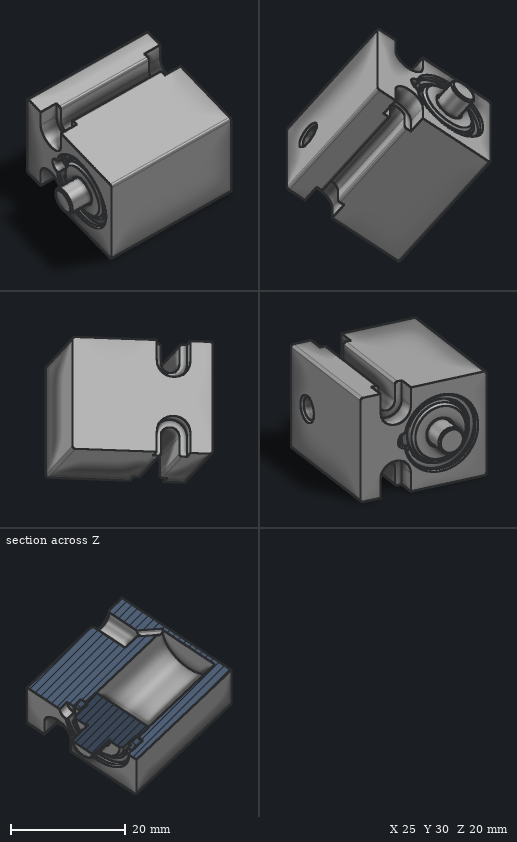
import cadquery as cq
import math


WIDTH = 25.0
HEIGHT = 20.0
DEPTH = 26.0
EDGE_RADIUS = 0.5

SLOT_X = 7.0
SLOT_WIDTH = 3.3
SLOT_CENTER_DEPTH = 3.5
SLOT_SEAT_WIDTH = 6.0
SLOT_SEAT_DEPTH = 3.42

AXIS_X = 16.0
SEAT_DIAMETER = 14.0
SEAT_CHAMFER = 0.33
CHAMBER_DIAMETER = 11.85
REAR_WALL = 1.0
NOTCH_RADIUS = 1.5

PORT_FROM_REAR = 6.05
PORT_DIAMETER = 4.15
PORT_MOUTH_DIAMETER = 5.0
PORT_DEPTH = 7.5
PASSAGE_DIAMETER = 1.2
PASSAGE_OVERLAP = 0.6
PASSAGE_LENGTH = 4.8

FLANGE_FACE_Y = 2.0
FLANGE_THICKNESS = 2.0
FLANGE_CHAMFER = 0.2
RIM_FACE_Y = 1.0
RIM_INNER_DIAMETER = 12.18
RIM_GAP_OUTER = 6.0
RIM_GAP_INNER = 4.15
RIM_GAP_OFFSET = 0.2
RADIAL_CLEARANCE = 0.2

SHANK_DIAMETER = 11.0
SHANK_FACE_Y = 0.2
SHANK_CHAMFER = 0.5
TIP_DIAMETER = 5.0
TIP_PROJECTION = 30.0 - DEPTH
TIP_CHAMFER = 0.3
COUNTERSINK = 0.3
PISTON_LENGTH = 3.0

SEAT_DEPTH = FLANGE_FACE_Y + FLANGE_THICKNESS


def cylinder(diameter, start_y, end_y):
    """Cylinder on the bore axis between two Y positions."""
    circle = cq.Workplane("XZ", origin=(AXIS_X, start_y, 0)).circle(diameter / 2)
    return circle.extrude(start_y - end_y)


def cone(diameter, start_y, depth):
    """45-degree cone on the bore axis, narrowing from its mouth at start_y."""
    radius = diameter / 2
    mouth = cq.Vector(AXIS_X, start_y, 0)
    return cq.Workplane(cq.Solid.makeCone(radius, radius - depth, depth, mouth, cq.Vector(0, 1, 0)))


def slot_outline(width):
    """Round-bottomed slot profile, open at the top face and drawn on the front plane."""
    half = width / 2
    center_z = HEIGHT / 2 - SLOT_CENTER_DEPTH
    return (
        cq.Workplane("XZ")
        .moveTo(SLOT_X - half, HEIGHT / 2)
        .lineTo(SLOT_X - half, center_z)
        .threePointArc((SLOT_X, center_z - half), (SLOT_X + half, center_z))
        .lineTo(SLOT_X + half, HEIGHT / 2)
        .close()
    )


def make_block():
    """Block with both slots, their end seats and rounded long edges."""
    block = cq.Workplane("XY").box(WIDTH, DEPTH, HEIGHT).translate((WIDTH / 2, DEPTH / 2, 0))
    slot = slot_outline(SLOT_WIDTH).extrude(-DEPTH)
    block = block.cut(slot).cut(slot.mirror("XY"))
    block = block.faces("<Z or >Z").edges("|Y").fillet(EDGE_RADIUS)
    front_seat = slot_outline(SLOT_SEAT_WIDTH).extrude(-SLOT_SEAT_DEPTH)
    for seat_y in (0, DEPTH - SLOT_SEAT_DEPTH):
        seat = front_seat.translate((0, seat_y, 0))
        block = block.cut(seat).cut(seat.mirror("XY"))
    return block


def make_bore():
    """Cutter for the collar seat, its chamfer, the side notch and the rod chamber."""
    seat = cylinder(SEAT_DIAMETER, 0, SEAT_DEPTH)
    mouth = cone(SEAT_DIAMETER + 2 * SEAT_CHAMFER, 0, SEAT_CHAMFER)
    notch = cylinder(2 * NOTCH_RADIUS, 0, FLANGE_FACE_Y).translate((-SEAT_DIAMETER / 2, 0, 0))
    chamber = cylinder(CHAMBER_DIAMETER, SEAT_DEPTH, DEPTH - REAR_WALL)
    return seat.union(mouth).union(notch).union(chamber)


def make_port():
    """Cutter for the port, its conical mouth and the slanted passage to the chamber."""
    port_y = DEPTH - PORT_FROM_REAR
    radius = PORT_DIAMETER / 2
    mouth_radius = PORT_MOUTH_DIAMETER / 2
    profile = [
        (0, port_y),
        (0, port_y + mouth_radius),
        (mouth_radius - radius, port_y + radius),
        (PORT_DEPTH, port_y + radius),
        (PORT_DEPTH, port_y),
    ]
    port = cq.Workplane("XY").polyline(profile).close().revolve(360, (0, port_y), (1, port_y))
    passage = cq.Workplane(cq.Solid.makeCylinder(
        PASSAGE_DIAMETER / 2,
        PASSAGE_LENGTH,
        cq.Vector(PORT_DEPTH - PASSAGE_OVERLAP, port_y + radius - PASSAGE_OVERLAP, 0),
        cq.Vector(1, 1, 0),
    ))
    return port.union(passage)


def make_housing():
    return make_block().cut(make_bore()).cut(make_port())


def make_rim():
    """Raised rim with a gap facing the notch; the gap narrows towards the bore axis."""
    rim = cylinder(SEAT_DIAMETER, RIM_FACE_Y, FLANGE_FACE_Y)
    rim = rim.cut(cylinder(RIM_INNER_DIAMETER, RIM_FACE_Y, FLANGE_FACE_Y))
    half_outer = RIM_GAP_OUTER / 2
    half_inner = RIM_GAP_INNER / 2
    outer_x = AXIS_X - math.sqrt((SEAT_DIAMETER / 2) ** 2 - half_outer ** 2)
    inner_x = AXIS_X - math.sqrt((RIM_INNER_DIAMETER / 2) ** 2 - half_inner ** 2)
    far_x = AXIS_X - SEAT_DIAMETER / 2
    gap_profile = [
        (far_x, half_outer),
        (outer_x, half_outer),
        (inner_x, half_inner),
        (inner_x, -half_inner),
        (outer_x, -half_outer),
        (far_x, -half_outer),
    ]
    gap = cq.Workplane("XZ", origin=(0, 0, RIM_GAP_OFFSET)).polyline(gap_profile).close().extrude(-SEAT_DEPTH)
    return rim.cut(gap)


def make_collar():
    flange = cylinder(SEAT_DIAMETER, FLANGE_FACE_Y, SEAT_DEPTH).faces("<Y").chamfer(FLANGE_CHAMFER)
    hole = cylinder(SHANK_DIAMETER + 2 * RADIAL_CLEARANCE, FLANGE_FACE_Y, SEAT_DEPTH)
    return flange.cut(hole).union(make_rim())


def make_rod():
    shank = cylinder(SHANK_DIAMETER, SHANK_FACE_Y, SEAT_DEPTH).faces("<Y").chamfer(SHANK_CHAMFER)
    shank = shank.cut(cone(TIP_DIAMETER + 2 * COUNTERSINK, SHANK_FACE_Y, COUNTERSINK))
    tip = cylinder(TIP_DIAMETER, -TIP_PROJECTION, SEAT_DEPTH).faces("<Y").chamfer(TIP_CHAMFER)
    piston = cylinder(CHAMBER_DIAMETER, SEAT_DEPTH, SEAT_DEPTH + PISTON_LENGTH)
    return shank.union(tip).union(piston)


housing = make_housing()
collar = make_collar()
rod = make_rod()

result = cq.Compound.makeCompound([housing.val(), collar.val(), rod.val()])